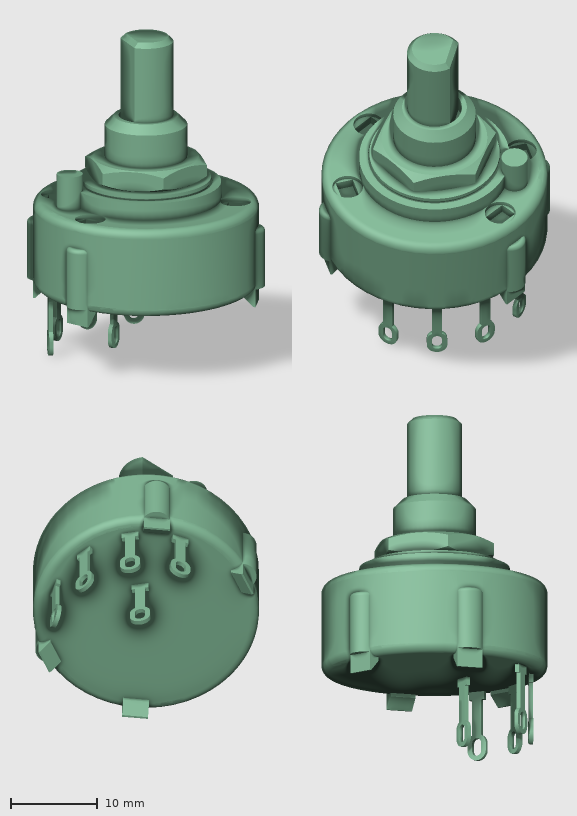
import cadquery as cq
import math


total_height = 38.0
terminal_drop = 8.05
shaft_top = total_height - terminal_drop

housing_diameter = 26.0
housing_radius = housing_diameter / 2
housing_height = 10.45
housing_fillet = 1.0

boss_diameter = 17.33
boss_height = 2.0
boss_top = housing_height + boss_height
recess_diameter = 15.3
recess_depth = 0.2
washer_diameter = 15.0
washer_gap = 0.15
collar_diameter = 14.63
washer_rise = 0.57
washer_top = boss_top + washer_rise
nut_corner_diameter = 14.4
nut_face_diameter = 12.15
nut_height = 2.47
nut_corner_drop = 0.57
nut_turn = -5.8

bushing_diameter = 9.5
bushing_top = 20.45
bushing_chamfer = 1.03
bore_depth = 2.0
shaft_diameter = 6.3
shaft_chamfer = 0.57
flat_offset = 2.3

pin_diameter = 3.0
pin_offset = 9.45
pin_height = 4.03

clip_angles = (60, 120, 240, 300)
socket_diameter = 3.55
socket_radius = 10.4
socket_depth = 0.5
slot_length = 2.8
slot_width = 2.05
slot_depth = 1.05
foot_width = 3.0
foot_outer = math.sqrt(housing_radius**2 - (foot_width / 2) ** 2)
foot_tip = 0.23
foot_bottom = -1.7
foot_top = 0.4
hook_reach = 1.3
hook_bottom = -0.4
rib_radius = 1.7
rib_offset = 12.1
rib_top = 7.55
rib_fillet = 0.5

terminal_angles = (165, 195, 225, 255)
terminal_radius = 11.1
common_angle = 225
common_radius = 4.03
terminal_thickness = 0.5
blade_width = 1.18
shoulder_width = 1.95
shoulder_drop = 0.95
eye_width = 2.35
eye_length = 3.1
eye_hole_width = 1.15
eye_hole_length = 2.05
eye_centre = -terminal_drop + eye_length / 2
terminal_root = 0.38


def disc(diameter, bottom, top):
    """Cylinder about Z between two heights."""
    return cq.Workplane("XY").workplane(offset=bottom).circle(diameter / 2).extrude(top - bottom)


def around_axis(shape, angle):
    """Turn a shape built on the +X side to an angle about Z."""
    return shape.rotate((0, 0, 0), (0, 0, 1), angle)


def make_housing():
    """Round body with both rims rounded."""
    housing = disc(housing_diameter, 0, housing_height)
    return housing.faces("<Z or >Z").edges().fillet(housing_fillet)


def make_boss():
    """Raised boss with a shallow recess under the washer."""
    boss = disc(boss_diameter, housing_height - housing_fillet, boss_top)
    return boss.cut(disc(recess_diameter, boss_top - recess_depth, boss_top))


def make_nut():
    """Hexagon whose corners are bevelled by a cone at both ends."""
    hexagon = (
        cq.Workplane("XY").workplane(offset=washer_top).polygon(6, nut_corner_diameter).extrude(nut_height)
    )
    face_radius = nut_face_diameter / 2
    corner_radius = nut_corner_diameter / 2
    nut_top = washer_top + nut_height
    envelope = (
        cq.Workplane("XZ")
        .moveTo(0, washer_top)
        .lineTo(face_radius, washer_top)
        .lineTo(corner_radius, washer_top + nut_corner_drop)
        .lineTo(corner_radius, nut_top - nut_corner_drop)
        .lineTo(face_radius, nut_top)
        .lineTo(0, nut_top)
        .close()
        .revolve(360, (0, 0), (0, 1))
    )
    return around_axis(hexagon.intersect(envelope), nut_turn)


def make_bushing():
    """Plain sleeve with a bevelled top rim."""
    bushing = disc(bushing_diameter, boss_top, bushing_top)
    return bushing.faces(">Z").edges().chamfer(bushing_chamfer)


def make_shaft():
    """D-shaped shaft with its flat on the -Y side."""
    shaft = disc(shaft_diameter, boss_top, shaft_top)
    keep = cq.Workplane("XY").box(
        shaft_diameter, shaft_diameter, total_height, centered=(True, False, False)
    )
    shaft = shaft.intersect(keep.translate((0, -flat_offset, 0)))
    return shaft.faces(">Z").edges().chamfer(shaft_chamfer)


def make_clip():
    """Rounded rib on the housing wall with a hooked foot below it, on the +X side."""
    rib_height = rib_top - foot_top
    rib = cq.Workplane("XY").circle(rib_radius).extrude(rib_height)
    rib = rib.faces(">Z").edges().fillet(rib_fillet)
    rib = rib.intersect(cq.Workplane("XY").box(2 * rib_radius, foot_width, 2 * rib_height))
    rib = rib.translate((rib_offset, 0, foot_top))

    tip_inner = foot_outer - foot_tip
    hook_inner = tip_inner - hook_reach
    foot_outline = [
        (foot_outer, foot_top),
        (foot_outer, foot_bottom),
        (tip_inner, foot_bottom),
        (hook_inner, hook_bottom),
        (hook_inner, foot_top),
    ]
    foot = cq.Workplane("XZ").polyline(foot_outline).close().extrude(foot_width / 2, both=True)
    return rib.union(foot)


def make_socket():
    """Round counterbore with a rectangular slot in its floor, on the +X side."""
    counterbore = disc(socket_diameter, housing_height - socket_depth, housing_height)
    slot_height = socket_depth + slot_depth
    slot = cq.Workplane("XY").box(slot_width, slot_length, slot_height, centered=(True, True, False))
    slot = slot.translate((0, 0, housing_height - slot_height))
    return counterbore.union(slot).translate((socket_radius, 0, 0))


def terminal_plate(width, bottom, top):
    """Flat strip of terminal stock between two heights."""
    plate = cq.Workplane("XY").box(terminal_thickness, width, top - bottom, centered=(True, True, False))
    return plate.translate((0, 0, bottom))


def terminal_eye(length, width):
    """Upright round-ended slug at the eye of a terminal."""
    return (
        cq.Workplane("YZ")
        .center(0, eye_centre)
        .slot2D(length, width, 90)
        .extrude(terminal_thickness / 2, both=True)
    )


def make_terminal(radius):
    """Shouldered blade ending in a solder eye, on the +X side."""
    terminal = terminal_plate(shoulder_width, -shoulder_drop, terminal_root)
    terminal = terminal.union(terminal_plate(blade_width, eye_centre, terminal_root))
    terminal = terminal.union(terminal_eye(eye_length, eye_width))
    terminal = terminal.cut(terminal_eye(eye_hole_length, eye_hole_width))
    return terminal.translate((radius, 0, 0))


result = make_housing().union(make_boss())
result = result.union(disc(collar_diameter, boss_top - recess_depth, washer_top))
result = result.union(disc(washer_diameter, boss_top + washer_gap, washer_top))
result = result.union(make_nut())

result = result.union(make_bushing())
result = result.cut(disc(shaft_diameter, bushing_top - bore_depth, bushing_top)).union(make_shaft())

for angle in clip_angles:
    result = result.cut(around_axis(make_socket(), angle))
    result = result.union(around_axis(make_clip(), angle))

pin = disc(pin_diameter, housing_height - housing_fillet, housing_height + pin_height)
result = result.union(pin.translate((0, -pin_offset, 0)))

for angle in terminal_angles:
    result = result.union(around_axis(make_terminal(terminal_radius), angle))
result = result.union(around_axis(make_terminal(common_radius), common_angle))